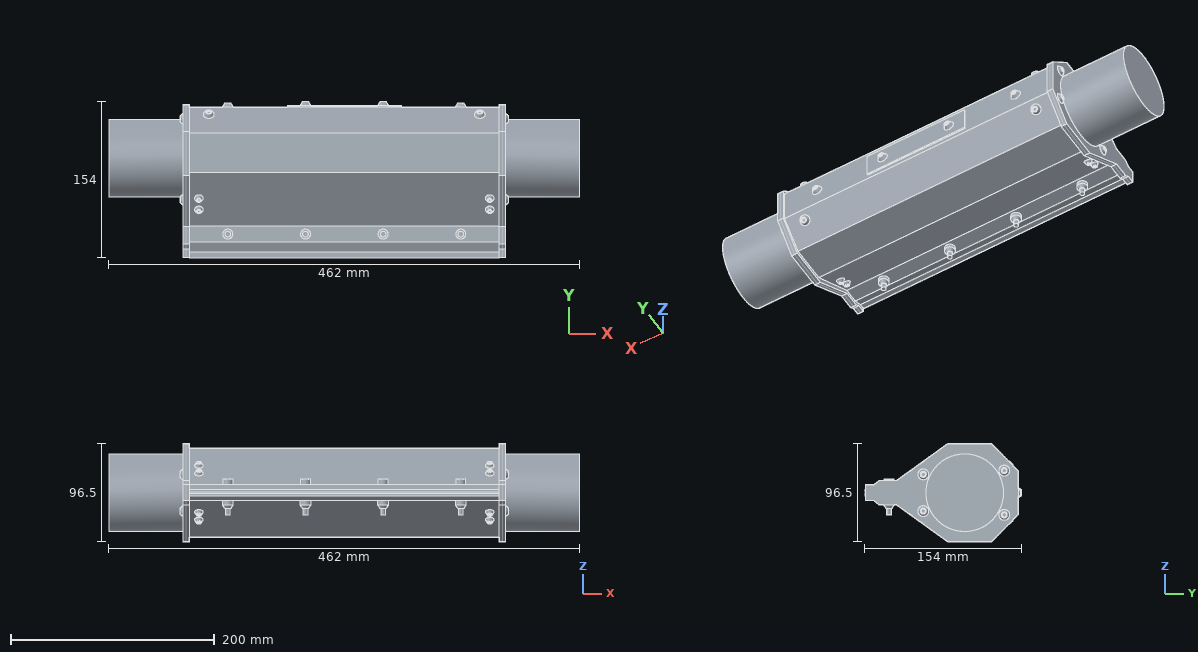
import cadquery as cq

total_length = 462.0
pipe_diameter = 76.0

plate_outer_x = 158.5
plate_thickness = 3.2
plate_height = 96.5
plate_half_height = plate_height / 2
plate_neck_z = 12.0
plate_nose_z = 8.0
plate_outline = [
    (52.5, 21.3),
    (26.5, plate_half_height),
    (-16.5, plate_half_height),
    (-67.0, plate_neck_z),
    (-84.0, plate_neck_z),
    (-89.0, plate_nose_z),
    (-97.5, plate_nose_z),
]

housing_half_length = plate_outer_x - 2 * plate_thickness
back_y = 50.5
back_half_height = 19.5
roof_back_y = 25.0
roof_front_y = -14.0
roof_z = 44.0
neck_back_y = -66.5
neck_front_y = -82.2
neck_z = 8.0
lip_back_y = -92.0
lip_front_y = -98.0
lip_z = 3.2
housing_outline = [
    (back_y, back_half_height),
    (roof_back_y, roof_z),
    (roof_front_y, roof_z),
    (neck_back_y, neck_z),
    (neck_front_y, neck_z),
    (lip_back_y, lip_z),
    (lip_front_y, lip_z),
]
slit_height = 2.0
slit_depth = 5.5

name_plate_length = 112.0
name_plate_height = 27.5
name_plate_thickness = 1.5

bolt_pitch = 76.0
bolt_count = 4
bolt_row_x = [(i - (bolt_count - 1) / 2) * bolt_pitch for i in range(bolt_count)]

clamp_y = -74.5
clamp_head_diameter = 9.5
clamp_head_height = 5.5
clamp_recess_diameter = 5.5
clamp_recess_depth = 1.5
clamp_shank_diameter = 4.5
clamp_end_z = -21.5
nut_diameter = 10.5
nut_end_diameter = 5.5
nut_straight_height = 4.0
nut_taper_height = 3.5

large_head_diameter = 10.5
small_head_diameter = 8.5
back_head_height = 4.0
slope_head_height = 3.5
plate_head_height = 3.0
head_top_ratio = 0.55
socket_ratio = 0.4
socket_depth = 1.5
embed_depth = 1.0

corner_screw_x = 133.0
corner_screw_y = 43.0
slope_screw_x = 142.8
slope_screw_ys = [-39.3, -50.5]
plate_screw_places = [(39.0, 21.5), (-40.5, 18.0)]


def prism(upper_outline, x_start, x_end):
    """Solid along X from an outline that is symmetric about z = 0."""
    lower_outline = [(y, -z) for y, z in reversed(upper_outline)]
    profile = cq.Workplane("YZ", origin=(x_start, 0, 0)).polyline(upper_outline + lower_outline).close()
    return profile.extrude(x_end - x_start)


def button_screw(base, direction, diameter, height):
    """Tapered screw head with a round socket, standing on `base` and pointing along `direction`."""
    base = cq.Vector(*base)
    axis = cq.Vector(*direction).normalized()
    radius = diameter / 2
    root = cq.Solid.makeCylinder(radius, embed_depth, base - axis * embed_depth, axis)
    head = cq.Solid.makeCone(radius, radius * head_top_ratio, height, base, axis)
    socket_base = base + axis * (height - socket_depth)
    socket = cq.Solid.makeCylinder(radius * socket_ratio, socket_depth, socket_base, axis)
    return cq.Workplane(root.fuse(head).cut(socket))


def clamp_bolt(x):
    """Round-headed bolt through the neck, with a tapered nut below."""
    up = cq.Vector(0, 0, 1)
    down = cq.Vector(0, 0, -1)
    head_top = neck_z + clamp_head_height
    nut_taper_start = -neck_z - nut_straight_height
    shank = cq.Solid.makeCylinder(
        clamp_shank_diameter / 2, neck_z - clamp_end_z, cq.Vector(x, clamp_y, clamp_end_z), up
    )
    head = cq.Solid.makeCylinder(
        clamp_head_diameter / 2, clamp_head_height, cq.Vector(x, clamp_y, neck_z), up
    )
    recess = cq.Solid.makeCylinder(
        clamp_recess_diameter / 2, clamp_recess_depth, cq.Vector(x, clamp_y, head_top), down
    )
    nut = cq.Solid.makeCylinder(
        nut_diameter / 2, nut_straight_height, cq.Vector(x, clamp_y, -neck_z), down
    )
    nut_taper = cq.Solid.makeCone(
        nut_diameter / 2, nut_end_diameter / 2, nut_taper_height, cq.Vector(x, clamp_y, nut_taper_start), down
    )
    return cq.Workplane(shank.fuse(head.cut(recess), nut, nut_taper))


def height_on_face(y, start, end):
    """Height z at y on the flat face between two outline points."""
    return start[1] + (y - start[0]) * (end[1] - start[1]) / (end[0] - start[0])


housing = prism(housing_outline, -housing_half_length, housing_half_length)
slit = cq.Workplane("XY").box(2 * housing_half_length, slit_depth, slit_height)
housing = housing.cut(slit.translate((0, lip_front_y + slit_depth / 2, 0)))

pipe = cq.Workplane("YZ", origin=(-total_length / 2, 0, 0)).circle(pipe_diameter / 2).extrude(total_length)
body = housing.union(pipe)

name_plate = cq.Workplane("XY").box(name_plate_length, name_plate_thickness, name_plate_height)
body = body.union(name_plate.translate((0, back_y + name_plate_thickness / 2, 0)))

for x in bolt_row_x:
    body = body.union(clamp_bolt(x))
    on_name_plate = abs(x) < name_plate_length / 2
    screw_y = back_y + (name_plate_thickness if on_name_plate else 0)
    body = body.union(button_screw((x, screw_y, 0), (0, 1, 0), large_head_diameter, back_head_height))

back_face = housing_outline[0:2]
front_face = housing_outline[2:4]
back_normal = (roof_z - back_half_height, back_y - roof_back_y)
front_normal = (neck_z - roof_z, roof_front_y - neck_back_y)
for side in (-1, 1):
    for half in (-1, 1):
        corner_z = height_on_face(corner_screw_y, *back_face)
        body = body.union(
            button_screw(
                (side * corner_screw_x, corner_screw_y, half * corner_z),
                (0, back_normal[0], half * back_normal[1]),
                large_head_diameter,
                slope_head_height,
            )
        )
        for y in slope_screw_ys:
            slope_z = height_on_face(y, *front_face)
            body = body.union(
                button_screw(
                    (side * slope_screw_x, y, half * slope_z),
                    (0, front_normal[0], half * front_normal[1]),
                    small_head_diameter,
                    slope_head_height,
                )
            )
        for y, z in plate_screw_places:
            body = body.union(
                button_screw(
                    (side * plate_outer_x, y, half * z), (side, 0, 0), large_head_diameter, plate_head_height
                )
            )

for side in (-1, 1):
    for layer in range(2):
        x_outer = side * (plate_outer_x - layer * plate_thickness)
        plate = prism(plate_outline, x_outer, x_outer - side * plate_thickness)
        body = body.union(plate, clean=False)

result = body